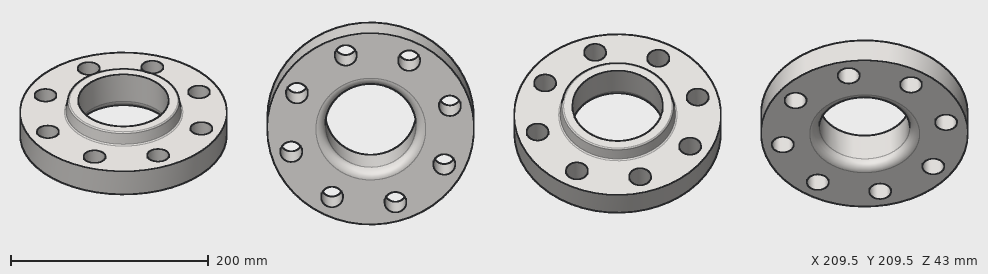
import cadquery as cq
import math

flange_diameter = 209.5
flange_thickness = 28.7

total_height = 43.0
hub_base_diameter = 117.3
hub_taper_angle = 10.0
hub_fillet = 1.5

bore_diameter = 91.5
bore_mouth_radius = 9.8

bolt_hole_count = 8
bolt_hole_diameter = 22.2
bolt_circle_diameter = 168.2

hub_height = total_height - flange_thickness
hub_base_radius = hub_base_diameter / 2
hub_top_radius = hub_base_radius - hub_height * math.tan(math.radians(hub_taper_angle))
bore_radius = bore_diameter / 2
arc_middle_offset = bore_mouth_radius * (1 - math.sqrt(0.5))


def make_body():
    """Revolve the disc, hub and bore as one half section about Z."""
    profile = (
        cq.Workplane("XZ")
        .moveTo(bore_radius + bore_mouth_radius, 0)
        .lineTo(flange_diameter / 2, 0)
        .lineTo(flange_diameter / 2, flange_thickness)
        .lineTo(hub_base_radius, flange_thickness)
        .lineTo(hub_top_radius, total_height)
        .lineTo(bore_radius, total_height)
        .lineTo(bore_radius, bore_mouth_radius)
        .threePointArc(
            (bore_radius + arc_middle_offset, arc_middle_offset),
            (bore_radius + bore_mouth_radius, 0),
        )
        .close()
    )
    return profile.revolve(360, (0, 0, 0), (0, 1, 0))


def round_hub_edges(body):
    """Round the outer rim of the hub and its joint with the disc."""
    rounded_radii = (hub_base_radius, hub_top_radius)
    hub_circles = [
        edge
        for edge in body.edges("%CIRCLE").vals()
        if any(math.isclose(edge.radius(), radius) for radius in rounded_radii)
    ]
    return body.newObject(hub_circles).fillet(hub_fillet)


def make_bolt_holes():
    """Cylinders evenly spaced on the bolt circle, starting on the X axis."""
    return (
        cq.Workplane("XY")
        .polarArray(bolt_circle_diameter / 2, 0, 360, bolt_hole_count)
        .circle(bolt_hole_diameter / 2)
        .extrude(flange_thickness)
    )


result = round_hub_edges(make_body()).cut(make_bolt_holes())